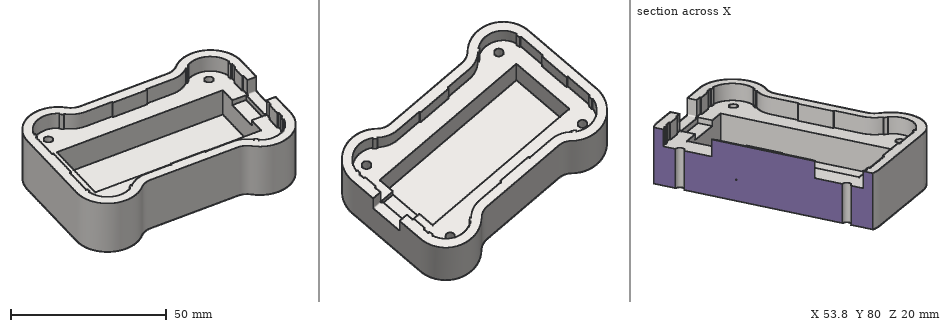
import cadquery as cq
import math

length = 80.0
height = 20.0
waist_width = 44.0
corner_radius = 11.5
corner_x = 15.4
neck_radius = 6.0
corner_y = length / 2 - corner_radius
wall = 3.4

recess_depth = 6.0
shelf_z = height - recess_depth
pocket_width = 24.0
pocket_length = 62.0
pocket_depth = 10.0
channel_width = 12.0
channel_depth = 2.0
channel_end_y = 36.2
notch_fillet = 0.5

hole_diameter = 3.0
hole_spacing_x = 38.0
hole_spacing_y = 60.0

pad_height = 0.5
side_pad_length = 12.8
end_pad_width = 11.2
notch_pad_width = 5.0
notch_pad_x = 11.0
lobe_pad_width = 1.5
lobe_pad_angles = (-39.0, 83.0)


def dogbone(inset, depth):
    """Prism with four round lobes blended into a narrower waist, shrunk by inset."""
    side_x = waist_width / 2 - inset
    lobe = corner_radius - inset
    neck = neck_radius + inset
    neck_x = side_x + neck
    reach_x = neck_x - corner_x
    reach_y = math.sqrt((lobe + neck) ** 2 - reach_x**2)
    neck_y = corner_y - reach_y
    share = lobe / (lobe + neck)
    join_x = corner_x + share * reach_x
    join_y = corner_y - share * reach_y
    half_turn = math.atan2(reach_y, reach_x) / 2
    neck_mid_x = neck_x - neck * math.cos(half_turn)
    neck_mid_y = neck_y + neck * math.sin(half_turn)
    lobe_angle = (math.pi / 2 - 2 * half_turn) / 2
    lobe_mid_x = corner_x + lobe * math.cos(lobe_angle)
    lobe_mid_y = corner_y + lobe * math.sin(lobe_angle)
    end_y = corner_y + lobe
    return (
        cq.Workplane("XY")
        .moveTo(side_x, -neck_y)
        .lineTo(side_x, neck_y)
        .threePointArc((neck_mid_x, neck_mid_y), (join_x, join_y))
        .threePointArc((lobe_mid_x, lobe_mid_y), (corner_x, end_y))
        .lineTo(-corner_x, end_y)
        .threePointArc((-lobe_mid_x, lobe_mid_y), (-join_x, join_y))
        .threePointArc((-neck_mid_x, neck_mid_y), (-side_x, neck_y))
        .lineTo(-side_x, -neck_y)
        .threePointArc((-neck_mid_x, -neck_mid_y), (-join_x, -join_y))
        .threePointArc((-lobe_mid_x, -lobe_mid_y), (-corner_x, -end_y))
        .lineTo(corner_x, -end_y)
        .threePointArc((lobe_mid_x, -lobe_mid_y), (join_x, -join_y))
        .threePointArc((neck_mid_x, -neck_mid_y), (side_x, -neck_y))
        .close()
        .extrude(depth)
    )


def block(x_size, y_size, z_size, x, y, z):
    """Box centred on (x, y) with its underside at z."""
    return cq.Workplane("XY").box(x_size, y_size, z_size, centered=(True, True, False)).translate((x, y, z))


def lobe_pads():
    """Small radial pads, two on the curved wall of each lobe."""
    lobe = corner_radius - wall
    pads = cq.Workplane("XY")
    for angle in lobe_pad_angles:
        pad = block(2 * pad_height, lobe_pad_width, recess_depth, lobe, 0, shelf_z)
        pad = pad.rotate((0, 0, 0), (0, 0, 1), angle).translate((corner_x, corner_y, 0))
        pads = pads.add(pad)
    right_pads = pads.add(pads.mirror("XZ"))
    return right_pads.add(right_pads.mirror("YZ"))


def recess():
    """Upper recess, less the pads left on its wall."""
    space = dogbone(wall, recess_depth).translate((0, 0, shelf_z))
    side_x = waist_width / 2 - wall
    end_y = length / 2 - wall
    for side in (-1, 1):
        space = space.cut(block(2 * pad_height, side_pad_length, recess_depth, side * side_x, 0, shelf_z))
        space = space.cut(
            block(notch_pad_width, 2 * pad_height, recess_depth, side * notch_pad_x, end_y, shelf_z)
        )
    for pad in lobe_pads().vals():
        space = space.cut(cq.Workplane(pad))
    return space.cut(block(end_pad_width, 2 * pad_height, recess_depth, 0, -end_y, shelf_z))


def pocket():
    return block(pocket_width, pocket_length, pocket_depth, 0, 0, shelf_z - pocket_depth)


def cable_passage():
    """Sunken channel from the pocket towards the wall, and the round-cornered notch through the wall."""
    channel = block(
        channel_width, channel_end_y, channel_depth, 0, channel_end_y / 2, shelf_z - channel_depth
    )
    notch_length = wall + pad_height
    notch_y = (length - notch_length) / 2
    notch = block(channel_width, notch_length, recess_depth, 0, notch_y, shelf_z)
    notch = notch.edges("|Y and <Z").fillet(notch_fillet)
    return channel.union(notch)


def screw_holes():
    return (
        cq.Workplane("XY")
        .rarray(hole_spacing_x, hole_spacing_y, 2, 2)
        .circle(hole_diameter / 2)
        .extrude(height)
    )


result = dogbone(0, height).cut(recess()).cut(pocket()).cut(cable_passage()).cut(screw_holes())